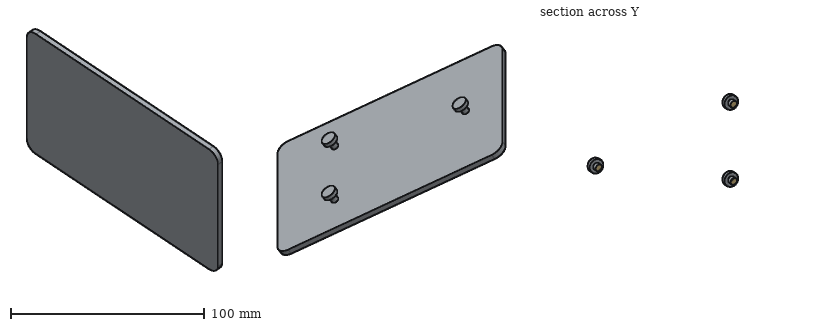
import cadquery as cq

plate_length = 136.5
plate_height = 87.2
plate_thickness = 3.3
corner_radius = 6.5

total_depth = 10.1
head_diameter = 8.0
head_thickness = 2.5
shank_diameter = 4.0

left_peg_x = -46.1
left_peg_z = 0.8
right_peg_x = 33.2
right_peg_z = 21.5
peg_centres = [
    (left_peg_x, left_peg_z),
    (right_peg_x, right_peg_z),
    (right_peg_x, -right_peg_z),
]


def make_plate():
    plate = cq.Workplane("XY").box(
        plate_length, plate_thickness, plate_height, centered=(True, False, True)
    )
    return plate.edges("|Y").fillet(corner_radius)


def cylinder_along_y(x, z, diameter, y_start, y_end):
    base = cq.Workplane("XZ", origin=(x, y_start, z))
    return base.circle(diameter / 2).extrude(y_start - y_end)


def make_peg(x, z):
    head_start = total_depth - head_thickness
    shank = cylinder_along_y(x, z, shank_diameter, plate_thickness / 2, total_depth)
    head = cylinder_along_y(x, z, head_diameter, head_start, total_depth)
    return shank.union(head)


result = make_plate()
for peg_x, peg_z in peg_centres:
    result = result.union(make_peg(peg_x, peg_z))